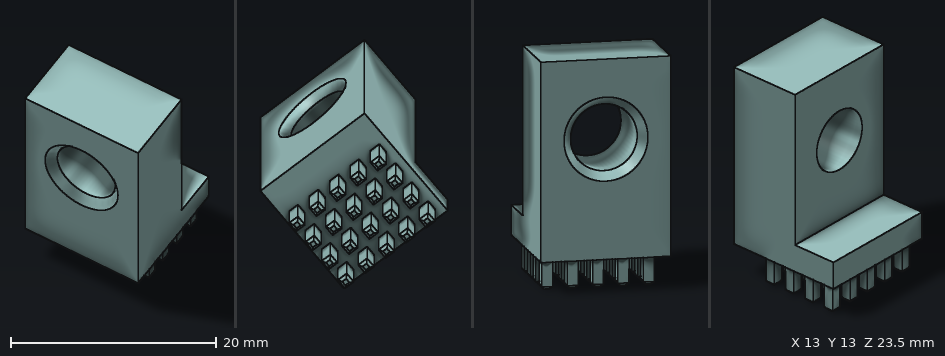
import cadquery as cq

total_height = 23.5
base_side = 13.0
body_height = 20.0
block_depth = 8.0
ledge_height = 3.0

bore_diameter = 6.65
bore_mouth_diameter = 8.4
bore_below_top = 8.0

pin_side = 1.1
pin_pitch = 2.54
pin_tip_chamfer = 0.3
pin_columns = 5
pin_rows = 4

front_y = -base_side / 2
pin_length = total_height - body_height
bore_z = body_height - bore_below_top
countersink_depth = (bore_mouth_diameter - bore_diameter) / 2


def make_body():
    """Upright block with a low ledge along its back, as one L-shaped profile."""
    profile = [
        (front_y, 0),
        (front_y + base_side, 0),
        (front_y + base_side, ledge_height),
        (front_y + block_depth, ledge_height),
        (front_y + block_depth, body_height),
        (front_y, body_height),
    ]
    return cq.Workplane("YZ").polyline(profile).close().extrude(base_side / 2, both=True)


def make_bore():
    """Through bore along Y with a conical mouth on the front face."""
    bore_radius = bore_diameter / 2
    mouth_radius = bore_mouth_diameter / 2
    half_section = [
        (0, front_y),
        (mouth_radius, front_y),
        (bore_radius, front_y + countersink_depth),
        (bore_radius, front_y + block_depth),
        (0, front_y + block_depth),
    ]
    bore = cq.Workplane("XY").polyline(half_section).close().revolve(360, (0, 0, 0), (0, 1, 0))
    return bore.translate((0, 0, bore_z))


def make_pins():
    """Grid of square pins with chamfered tips; the second row from the front is at Y = 0."""
    first_x = -pin_pitch * (pin_columns - 1) / 2
    first_y = -pin_pitch
    positions = [
        (first_x + column * pin_pitch, first_y + row * pin_pitch)
        for column in range(pin_columns)
        for row in range(pin_rows)
    ]
    pins = cq.Workplane("XY").pushPoints(positions).rect(pin_side, pin_side).extrude(-pin_length)
    return pins.faces("<Z").chamfer(pin_tip_chamfer)


result = make_body().cut(make_bore()).union(make_pins())